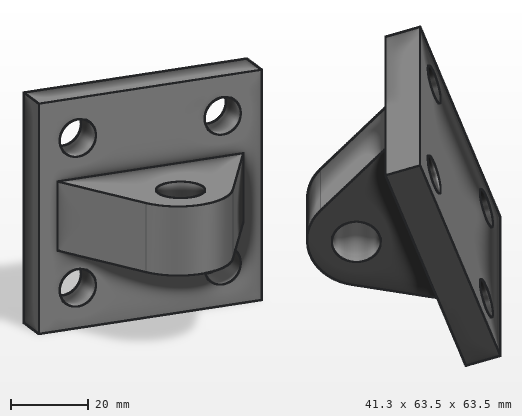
import cadquery as cq
import math

plate_side = 63.5
plate_thickness = 9.5
bolt_spacing = 41.3
bolt_hole_diameter = 10.3

total_depth = 41.3
lug_height = 19.05
lug_root_width = 52.95
nose_radius = 14.3
pin_hole_diameter = 12.7
pin_x = 28.6


def make_plate():
    """Plate standing in the YZ plane, with four bolt holes through X."""
    return (
        cq.Workplane("YZ")
        .rect(plate_side, plate_side)
        .extrude(plate_thickness)
        .faces(">X")
        .workplane(origin=(plate_thickness, 0, 0))
        .rect(bolt_spacing, bolt_spacing, forConstruction=True)
        .vertices()
        .hole(bolt_hole_diameter)
    )


def make_lug():
    """Lug whose straight sides run tangent into the nose arc."""
    nose_x = total_depth - nose_radius
    root_half = lug_root_width / 2
    run = nose_x - plate_thickness
    tangent_angle = math.atan2(root_half, -run) - math.acos(nose_radius / math.hypot(run, root_half))
    tangent_x = nose_x + nose_radius * math.cos(tangent_angle)
    tangent_y = nose_radius * math.sin(tangent_angle)
    return (
        cq.Workplane("XY")
        .moveTo(plate_thickness, -root_half)
        .lineTo(tangent_x, -tangent_y)
        .threePointArc((total_depth, 0), (tangent_x, tangent_y))
        .lineTo(plate_thickness, root_half)
        .close()
        .extrude(lug_height / 2, both=True)
        .moveTo(pin_x, 0)
        .circle(pin_hole_diameter / 2)
        .cutThruAll()
    )


result = make_plate().union(make_lug())